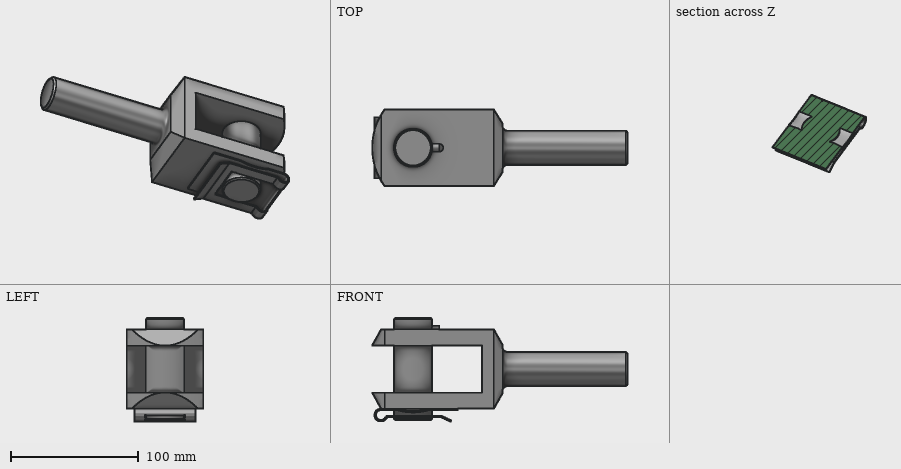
import cadquery as cq
import math

total_length = 200.0
fork_length = 102.0
fork_width = 60.0
fork_height = 62.0
gap_height = 36.8
gap_depth = 85.8
tip_radius = 51.0
tip_bevel_length = 7.0
back_bevel_length = 6.8
back_face_size = 38.0

shank_diameter = 27.0
shank_chamfer = 1.5
shank_fillet = 3.5

pin_x = 32.0
pin_diameter = 30.0
pin_length = 80.0
pin_chamfer = 1.2
dowel_diameter = 6.0
dowel_end_x = 52.5

sheet = 1.2
clip_width = 48.0
window_width = 31.0
window_clearance = (window_width - pin_diameter) / 2
loop_radius = 4.5
loop_x = 6.8
loop_exit_angle = math.radians(45)
upper_leaf_end_x = 67.0
sag_half_length = 12.0
sag_depth = 1.8
lower_leaf_drop = 5.5
tail_start_x = 53.8
tail_length = 8.5
tail_angle = math.radians(25)

half_width = fork_width / 2
half_height = fork_height / 2
half_gap = gap_height / 2
half_back = back_face_size / 2
back_bevel_x = fork_length - back_bevel_length


def make_fork():
    """Intersect the side profile with the plan outline so that all bevels meet."""
    profile = (
        cq.Workplane("XZ")
        .moveTo(0, half_gap)
        .lineTo(tip_bevel_length, half_height)
        .lineTo(back_bevel_x, half_height)
        .lineTo(fork_length, half_back)
        .lineTo(fork_length, -half_back)
        .lineTo(back_bevel_x, -half_height)
        .lineTo(tip_bevel_length, -half_height)
        .lineTo(0, -half_gap)
        .lineTo(gap_depth, -half_gap)
        .lineTo(gap_depth, half_gap)
        .close()
        .extrude(half_width, both=True)
    )
    tip_corner_x = tip_radius - math.sqrt(tip_radius**2 - half_width**2)
    plan = (
        cq.Workplane("XY")
        .moveTo(tip_corner_x, half_width)
        .lineTo(back_bevel_x, half_width)
        .lineTo(fork_length, half_back)
        .lineTo(fork_length, -half_back)
        .lineTo(back_bevel_x, -half_width)
        .lineTo(tip_corner_x, -half_width)
        .threePointArc((0, 0), (tip_corner_x, half_width))
        .close()
        .extrude(half_height, both=True)
    )
    return profile.intersect(plan)


def make_shank():
    """Turned shank with a chamfered end and a concave fillet at the fork."""
    radius = shank_diameter / 2
    fillet_end_x = fork_length + shank_fillet
    mid_offset = shank_fillet * (1 - math.sqrt(0.5))
    return (
        cq.Workplane("XZ")
        .moveTo(fork_length, 0)
        .lineTo(fork_length, radius + shank_fillet)
        .threePointArc((fork_length + mid_offset, radius + mid_offset), (fillet_end_x, radius))
        .lineTo(total_length - shank_chamfer, radius)
        .lineTo(total_length, radius - shank_chamfer)
        .lineTo(total_length, 0)
        .close()
        .revolve(360, (0, 0, 0), (1, 0, 0))
    )


def make_pin():
    return (
        cq.Workplane("XY", origin=(pin_x, 0, -pin_length / 2))
        .circle(pin_diameter / 2)
        .extrude(pin_length)
        .faces("|Z")
        .chamfer(pin_chamfer)
    )


def make_dowel():
    """Dowel lying half sunk in the top face of the fork."""
    return (
        cq.Workplane("YZ", origin=(pin_x, 0, half_height))
        .circle(dowel_diameter / 2)
        .extrude(dowel_end_x - pin_x)
    )


def make_dowel_recess():
    """Rounded end of the dowel groove, left open beyond the dowel."""
    radius = dowel_diameter / 2
    return (
        cq.Workplane("XY", origin=(dowel_end_x, 0, half_height))
        .moveTo(0, -radius)
        .threePointArc((radius, 0), (0, radius))
        .close()
        .extrude(-radius)
    )


def make_clip():
    """Sweep the sheet section along the bent clip, then open the window around the pin."""
    upper_z = -half_height - sheet / 2
    lower_z = upper_z - lower_leaf_drop
    loop_z = upper_z - loop_radius
    loop_exit_x = loop_x + loop_radius * math.sin(loop_exit_angle)
    loop_exit_z = loop_z - loop_radius * math.cos(loop_exit_angle)
    lower_leaf_x = loop_exit_x + (lower_z - loop_exit_z) / math.tan(loop_exit_angle)
    tail_end_x = tail_start_x + tail_length * math.cos(tail_angle)
    tail_end_z = lower_z - tail_length * math.sin(tail_angle)
    path = (
        cq.Workplane("XZ")
        .moveTo(upper_leaf_end_x, upper_z)
        .lineTo(pin_x + sag_half_length, upper_z)
        .threePointArc((pin_x, upper_z - sag_depth), (pin_x - sag_half_length, upper_z))
        .lineTo(loop_x, upper_z)
        .threePointArc((loop_x - loop_radius, loop_z), (loop_exit_x, loop_exit_z))
        .lineTo(lower_leaf_x, lower_z)
        .lineTo(tail_start_x, lower_z)
        .lineTo(tail_end_x, tail_end_z)
    )
    strip = (
        cq.Workplane("YZ", origin=(upper_leaf_end_x, 0, upper_z))
        .rect(clip_width, sheet)
        .sweep(path, transition="right")
    )
    window_end_x = pin_x + pin_diameter / 2 + window_clearance
    window = (
        cq.Workplane("XY", origin=(0, 0, loop_z))
        .rect(2 * window_end_x, window_width)
        .extrude(-2 * loop_radius)
    )
    return strip.cut(window)


fork = make_fork().cut(make_dowel_recess())
result = fork.union(make_shank()).union(make_pin()).union(make_dowel()).union(make_clip())